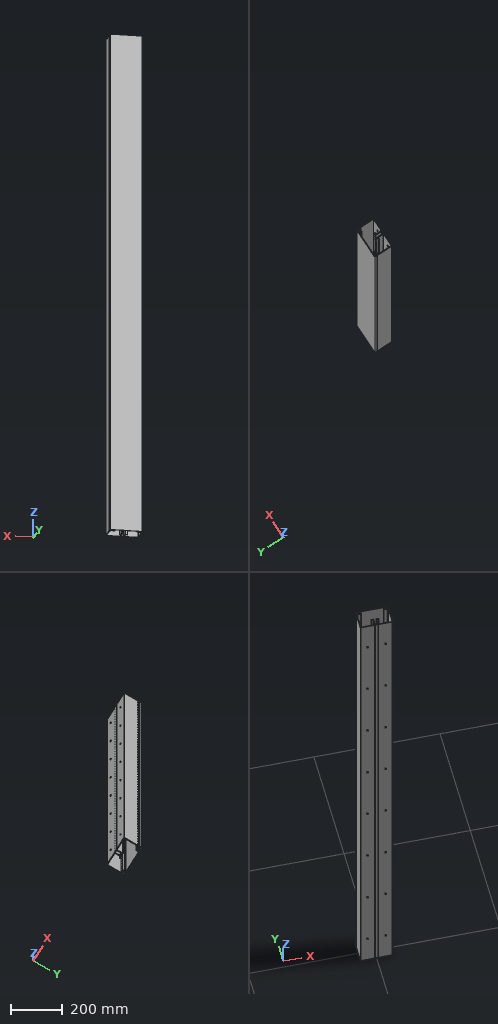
import cadquery as cq

length = 2000.0
width = 130.0
depth = 80.8
half_width = width / 2

wall = 2.9
cover_thickness = 2.5

cover_flange = 11.5
seam_y = depth - cover_flange

hook_thickness = 2.5
shelf_thickness = 2.0
hook_inner_x = 44.0
hook_top_y = 74.0
hook_lip_length = 13.0
shelf_rib_x = 58.5
shelf_rib_width = 2.5
shelf_rib_height = 5.0

leg_inner_x = 5.0
leg_outer_x = 8.0
head_outer_x = 15.0
head_bottom_y = 27.0
rail_top_y = 30.5

hole_diameter = 5.5
hole_spacing = 72.0
hole_pitch = 250.0
hole_rows = 8


def bar(x_min, x_max, y_min, y_max):
    """Rectangular bar over the full length."""
    size_x = x_max - x_min
    size_y = y_max - y_min
    return cq.Workplane("XY").box(size_x, size_y, length, centered=False).translate((x_min, y_min, 0))


def with_mirror(half):
    """Add the copy mirrored across the X = 0 plane."""
    return half.union(half.mirror("YZ"))


def make_channel():
    inner_x = half_width - wall
    floor = bar(-half_width, half_width, 0, wall)
    side = bar(inner_x, half_width, 0, seam_y)
    return floor.union(with_mirror(side))


def make_hooks():
    shelf_bottom_y = seam_y - shelf_thickness
    rib_bottom_y = shelf_bottom_y - shelf_rib_height
    lip_bottom_y = hook_top_y - hook_thickness
    lip_end_x = hook_inner_x + hook_lip_length
    upright_outer_x = hook_inner_x + hook_thickness

    shelf = bar(hook_inner_x, half_width, shelf_bottom_y, seam_y)
    upright = bar(hook_inner_x, upright_outer_x, shelf_bottom_y, hook_top_y)
    lip = bar(hook_inner_x, lip_end_x, lip_bottom_y, hook_top_y)
    rib = bar(shelf_rib_x, shelf_rib_x + shelf_rib_width, rib_bottom_y, seam_y)
    return with_mirror(shelf.union(upright).union(lip).union(rib))


def make_rail():
    leg = bar(leg_inner_x, leg_outer_x, wall, rail_top_y)
    head = bar(leg_inner_x, head_outer_x, head_bottom_y, rail_top_y)
    return with_mirror(leg.union(head))


def make_holes():
    return (
        cq.Workplane("XZ")
        .center(0, length / 2)
        .rarray(hole_spacing, hole_pitch, 2, hole_rows)
        .circle(hole_diameter / 2)
        .extrude(-wall)
    )


def make_base():
    return make_channel().union(make_hooks()).union(make_rail()).cut(make_holes())


def make_cover():
    outer = bar(-half_width, half_width, seam_y, depth)
    inner_x = half_width - cover_thickness
    cavity = bar(-inner_x, inner_x, seam_y, depth - cover_thickness)
    return outer.cut(cavity)


base = make_base()
cover = make_cover()
result = cq.Compound.makeCompound([base.val(), cover.val()])